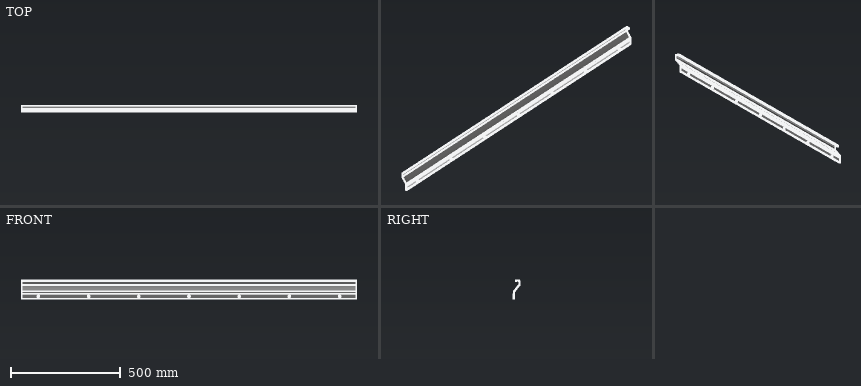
import cadquery as cq

length = 1524.0
depth = 27.0
height = 84.0
thickness = 2.0
inner_bend_radius = 2.3
outer_bend_radius = inner_bend_radius + thickness

flange_width = 17.0
lip_height = 5.0
upper_bend_height = 62.0
lower_bend_height = 34.0
hem_height = 23.0
hem_thickness = 2 * thickness
hem_edge_radius = 3.0

hole_diameter = 7.2
hole_count = 7
hole_pitch = 229.0
hole_height = 10.0

front = -depth / 2
back = depth / 2
web_front = front + hem_thickness - thickness


def section():
    """Closed outline of the sheet: lower wall, sloping web, upper wall, flange and lip."""
    flange_front = back - flange_width
    slope_run = back - web_front - thickness
    slope_rise = upper_bend_height - lower_bend_height
    slope_length = (slope_run**2 + slope_rise**2) ** 0.5
    corner_shift = thickness * (slope_length - slope_rise) / slope_run
    return (
        cq.Workplane("YZ", origin=(-length / 2, 0, 0))
        .moveTo(web_front, 0)
        .lineTo(web_front + thickness, 0)
        .lineTo(web_front + thickness, lower_bend_height)
        .lineTo(back, upper_bend_height)
        .lineTo(back, height)
        .lineTo(flange_front, height)
        .lineTo(flange_front, height - lip_height)
        .lineTo(flange_front + thickness, height - lip_height)
        .lineTo(flange_front + thickness, height - thickness)
        .lineTo(back - thickness, height - thickness)
        .lineTo(back - thickness, upper_bend_height + corner_shift)
        .lineTo(web_front, lower_bend_height + corner_shift)
        .close()
        .extrude(length)
    )


def round_flange_bend(sheet):
    """Round both faces of the bend between the upper wall and the flange."""
    outer_edge = cq.selectors.NearestToPointSelector((0, back, height))
    inner_edge = cq.selectors.NearestToPointSelector((0, back - thickness, height - thickness))
    return sheet.edges(outer_edge).fillet(outer_bend_radius).edges(inner_edge).fillet(inner_bend_radius)


def hem():
    """Doubled foot of the lower wall, with its upper front edge rounded."""
    layer = cq.Workplane("XY", origin=(0, front, 0)).box(
        length, hem_thickness, hem_height, centered=(True, False, False)
    )
    return layer.faces("<Y").edges(">Z").fillet(hem_edge_radius)


def fixing_holes():
    """Evenly spaced cylinders across the lower wall and the hem."""
    return (
        cq.Workplane("XZ", origin=(0, back, hole_height))
        .rarray(hole_pitch, 15, hole_count, 1)
        .circle(hole_diameter / 2)
        .extrude(depth)
    )


result = round_flange_bend(section()).union(hem()).cut(fixing_holes())